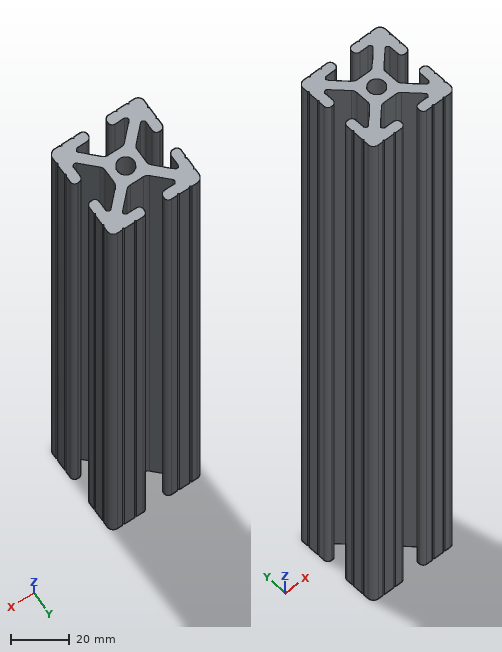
import cadquery as cq
import math

side = 38.0
length = 254.0
corner_radius = 2.5

slot_width = 8.1
lip_thickness = 4.0
lip_radius = 1.8
web_thickness = 4.0
core_width = 13.5
core_radius = 2.8
tip_radius = 1.0

bore_diameter = 6.9
groove_width = 0.8
groove_depth = groove_width / 2
groove_offsets = (9.0, 14.0)

half_side = side / 2
half_slot = slot_width / 2
half_core = core_width / 2
lip_inside = half_side - lip_thickness
web_shift = web_thickness / math.sqrt(2)


def on_all_sides(cutter):
    """Yield the +Y side cutter turned to each of the four sides."""
    for quarter in range(4):
        yield cutter.rotate((0, 0, 0), (0, 0, 1), 90 * quarter)


def make_bar():
    bar = cq.Workplane("XY").rect(side, side).extrude(length)
    return bar.edges("|Z").fillet(corner_radius)


def make_slot():
    """T-slot on the +Y side: trapezoid cavity joined to a narrow mouth."""
    core_corner = half_core - web_shift
    cavity_tip = lip_inside - web_shift
    outline = [
        (core_corner, half_core),
        (cavity_tip, lip_inside),
        (-cavity_tip, lip_inside),
        (-core_corner, half_core),
    ]
    cavity = cq.Workplane("XY").polyline(outline).close().extrude(length)
    cavity = cavity.edges("|Z and >Y").fillet(tip_radius)
    cavity = cavity.edges("|Z and <Y").fillet(core_radius)
    mouth = (
        cq.Workplane("XY")
        .center(0, half_side - lip_thickness / 2)
        .rect(slot_width, lip_thickness)
        .extrude(length)
    )
    return cavity.union(mouth)


def round_lips(bar):
    """Round the inner and outer edges of all eight lip ends."""
    for y in (half_side, lip_inside):
        for x in (half_slot, -half_slot):
            for point in ((x, y), (x, -y), (y, x), (-y, x)):
                picker = cq.selectors.NearestToPointSelector((*point, length / 2))
                bar = bar.edges("|Z").edges(picker).fillet(lip_radius)
    return bar


def make_groove(offset):
    """Round-bottomed groove on the +Y face, running the full length."""
    return (
        cq.Workplane("XY")
        .moveTo(offset - groove_width / 2, half_side)
        .threePointArc((offset, half_side - groove_depth), (offset + groove_width / 2, half_side))
        .close()
        .extrude(length)
    )


def cut_grooves(bar):
    for distance in groove_offsets:
        for offset in (distance, -distance):
            for groove in on_all_sides(make_groove(offset)):
                bar = bar.cut(groove)
    return bar


result = make_bar()
for slot in on_all_sides(make_slot()):
    result = result.cut(slot)
result = round_lips(result)
result = cut_grooves(result)
result = result.faces(">Z").workplane(origin=(0, 0, length)).hole(bore_diameter)